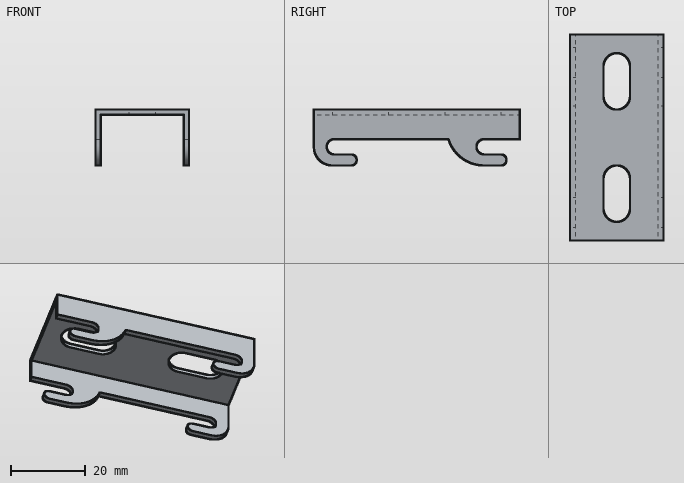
import cadquery as cq
import math

width = 25.0
length = 55.0
height = 15.0
wall = 1.5

finger_height = 3.0
notch_height = 4.0
hook_spacing = 40.0
notch_center_inset = 5.5
tip_inset = 11.5
end_corner_radius = 5.0
heel_radius = 10.0

slot_length = 15.0
slot_width = 7.0
slot_spacing = 30.0

notch_radius = notch_height / 2
finger_radius = finger_height / 2
flange_bottom = finger_height + notch_height
end_y = -length / 2
first_notch_y = end_y + notch_center_inset
first_tip_y = end_y + tip_inset


def add_hook_inside(outline, offset):
    """Run from the underside of the finger round its tip and notch to the flange edge."""
    notch_y = first_notch_y + offset
    straight_end_y = first_tip_y + offset - finger_radius
    return (
        outline.lineTo(straight_end_y, 0)
        .threePointArc((first_tip_y + offset, finger_radius), (straight_end_y, finger_height))
        .lineTo(notch_y, finger_height)
        .threePointArc(
            (notch_y - notch_radius, finger_height + notch_radius), (notch_y, flange_bottom)
        )
    )


def side_profile():
    """Closed Y-Z outline of a flange with two hooks opening toward +Y."""
    diagonal = math.sqrt(0.5)
    outline = (
        cq.Workplane("YZ")
        .moveTo(end_y, height)
        .lineTo(end_y, end_corner_radius)
        .threePointArc(
            (end_y + end_corner_radius * (1 - diagonal), end_corner_radius * (1 - diagonal)),
            (end_y + end_corner_radius, 0),
        )
    )
    outline = add_hook_inside(outline, 0)

    heel_y = first_notch_y + hook_spacing
    heel_angle = math.acos(1 - flange_bottom / heel_radius)
    heel_start = (heel_y - heel_radius * math.sin(heel_angle), flange_bottom)
    heel_middle = (
        heel_y - heel_radius * math.sin(heel_angle / 2),
        heel_radius * (1 - math.cos(heel_angle / 2)),
    )
    outline = outline.lineTo(*heel_start).threePointArc(heel_middle, (heel_y, 0))
    outline = add_hook_inside(outline, hook_spacing)
    return outline.lineTo(length / 2, flange_bottom).lineTo(length / 2, height).close()


body = side_profile().extrude(width / 2, both=True)
cavity = cq.Workplane("XY").box(
    width - 2 * wall, length, height - wall, centered=(True, True, False)
)

slots = (
    cq.Workplane("XY")
    .workplane(offset=height - wall)
    .pushPoints([(0, -slot_spacing / 2), (0, slot_spacing / 2)])
    .slot2D(slot_length, slot_width, 90)
    .extrude(wall)
)

result = body.cut(cavity).cut(slots)